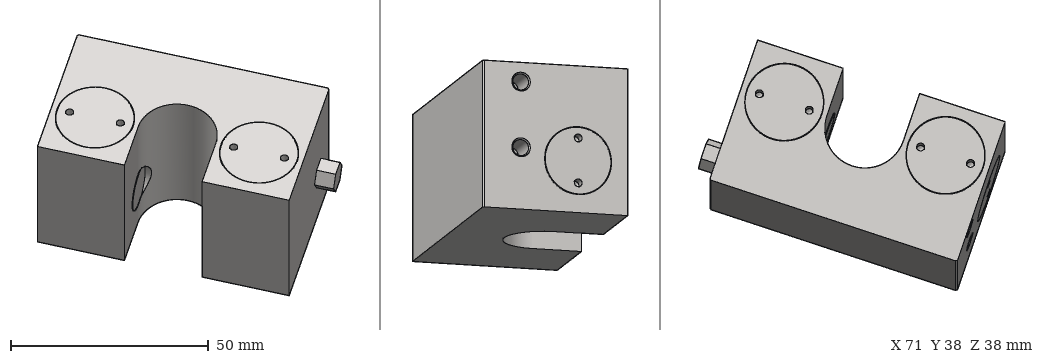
import cadquery as cq
import math

LENGTH = 66.0
DEPTH = 38.0
HEIGHT = 38.0
BACK_CHAMFER = 0.4

SLOT_WIDTH = 20.35
SLOT_RADIUS = SLOT_WIDTH / 2
SLOT_X = LENGTH / 2
SLOT_ARC_Y = 12.95

BORE_Y = 13.0
BORE_Z = 13.5

PISTON_DIAMETER = 11.7
PISTON_PROTRUSION = 0.2
PISTON_GAP = SLOT_WIDTH - 2 * PISTON_PROTRUSION

TOP_SEAT_DIAMETER = 20.0
TOP_PLUG_DIAMETER = 19.8
TOP_PLUG_INSET = 11.5
TOP_PIN_OFFSET = 6.65
SIDE_SEAT_DIAMETER = 17.5
SIDE_PLUG_DIAMETER = 17.3
SIDE_PIN_OFFSET = 5.8
GROOVE_DEPTH = 0.5

PIN_HOLE_DIAMETER = 2.0
PIN_HOLE_DEPTH = 3.0
DRILL_POINT_ANGLE = 118.0

PORT_Y = 28.0
LOWER_PORT_Z = 16.0
UPPER_PORT_Z = 33.0
PORT_DIAMETER = 4.13
PORT_MOUTH_DIAMETER = 4.85
PORT_DEPTH = 10.0

HEX_ACROSS_FLATS = 7.0
HEX_ACROSS_CORNERS = HEX_ACROSS_FLATS / math.cos(math.radians(30))
HEX_LENGTH = 5.0

LEFT_FACE = cq.Plane(origin=(0, 0, 0), xDir=(0, 1, 0), normal=(1, 0, 0))
TOP_FACE = cq.Plane(origin=(0, 0, HEIGHT), xDir=(0, 1, 0), normal=(0, 0, -1))
RIGHT_FACE = cq.Plane(origin=(LENGTH, 0, 0), xDir=(0, 1, 0), normal=(1, 0, 0))


def make_block():
    """Rectangular block with its two upright back edges chamfered."""
    block = cq.Workplane("XY").box(LENGTH, DEPTH, HEIGHT, centered=False)
    return block.faces(">Y").edges("|Z").chamfer(BACK_CHAMFER)


def make_slot():
    """Prism of the U-shaped slot, with a half-round back end."""
    left = SLOT_X - SLOT_RADIUS
    right = SLOT_X + SLOT_RADIUS
    return (
        cq.Workplane("XY")
        .moveTo(left, 0)
        .lineTo(left, SLOT_ARC_Y)
        .threePointArc((SLOT_X, SLOT_ARC_Y + SLOT_RADIUS), (right, SLOT_ARC_Y))
        .lineTo(right, 0)
        .close()
        .extrude(HEIGHT)
    )


def make_piston_bar(length):
    """Cylinder of piston diameter along X, centred on the slot."""
    return (
        cq.Workplane(LEFT_FACE)
        .workplane(offset=SLOT_X - length / 2)
        .center(BORE_Y, BORE_Z)
        .circle(PISTON_DIAMETER / 2)
        .extrude(length)
    )


def add_pistons(body):
    """Bridge the slot with a bar, then clear the bore between the two piston ends."""
    return body.union(make_piston_bar(SLOT_WIDTH)).cut(make_piston_bar(PISTON_GAP))


def make_drilled_hole(face, x, y):
    """Round pin hole with a conical bottom, sunk along the normal of the face."""
    radius = PIN_HOLE_DIAMETER / 2
    tip_depth = radius / math.tan(math.radians(DRILL_POINT_ANGLE / 2))
    shank = cq.Workplane(face).center(x, y).circle(radius).extrude(PIN_HOLE_DEPTH)
    tip_base = face.toWorldCoords((x, y, PIN_HOLE_DEPTH))
    tip = cq.Solid.makeCone(radius, 0, tip_depth, pnt=tip_base, dir=face.zDir)
    return shank.union(cq.Workplane(tip))


def cut_plug(body, face, position, seat_diameter, plug_diameter, pin_offset):
    """Outline a flush plug at a face position along local y, with its two pin holes."""
    groove = (
        cq.Workplane(face)
        .center(BORE_Y, position)
        .circle(seat_diameter / 2)
        .circle(plug_diameter / 2)
        .extrude(GROOVE_DEPTH)
    )
    body = body.cut(groove)
    for offset in (-pin_offset, pin_offset):
        body = body.cut(make_drilled_hole(face, BORE_Y, position + offset))
    return body


def make_port(z):
    """Blind port sunk into the left face, with a chamfered mouth."""
    chamfer = (PORT_MOUTH_DIAMETER - PORT_DIAMETER) / 2
    bore = cq.Workplane(LEFT_FACE).center(PORT_Y, z).circle(PORT_DIAMETER / 2).extrude(PORT_DEPTH)
    mouth = cq.Solid.makeCone(
        PORT_MOUTH_DIAMETER / 2,
        PORT_DIAMETER / 2,
        chamfer,
        pnt=LEFT_FACE.toWorldCoords((PORT_Y, z)),
        dir=LEFT_FACE.zDir,
    )
    return bore.union(cq.Workplane(mouth))


def make_hex_stub():
    """Hexagonal stub standing on the right face, flats up and down."""
    return (
        cq.Workplane(RIGHT_FACE)
        .center(PORT_Y, LOWER_PORT_Z)
        .polygon(6, HEX_ACROSS_CORNERS)
        .extrude(HEX_LENGTH)
    )


result = make_block().cut(make_slot())
result = add_pistons(result)
for plug_x in (TOP_PLUG_INSET, LENGTH - TOP_PLUG_INSET):
    result = cut_plug(
        result, TOP_FACE, plug_x, TOP_SEAT_DIAMETER, TOP_PLUG_DIAMETER, TOP_PIN_OFFSET
    )
result = cut_plug(
    result, LEFT_FACE, BORE_Z, SIDE_SEAT_DIAMETER, SIDE_PLUG_DIAMETER, SIDE_PIN_OFFSET
)
for port_z in (LOWER_PORT_Z, UPPER_PORT_Z):
    result = result.cut(make_port(port_z))
result = result.union(make_hex_stub())